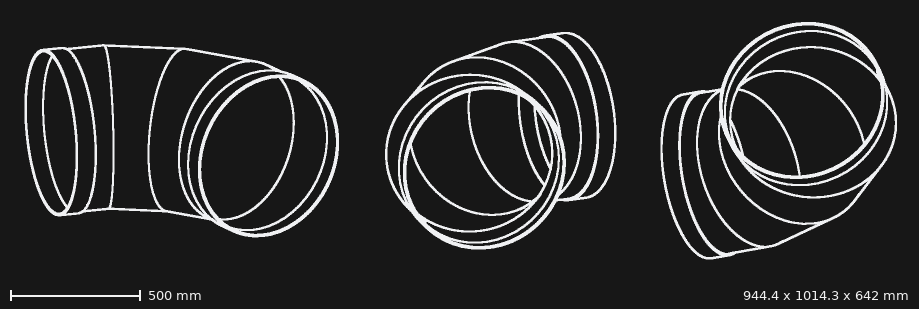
import cadquery as cq
import math

TUBE_OUTER_DIAMETER = 630
WALL = 6
BEND_ANGLE = 75
BEND_RADIUS = 630
MIDDLE_TURN = 22.5
END_LENGTH = 76
SOCKET_LENGTH = 76

tube_outer_radius = TUBE_OUTER_DIAMETER / 2
tube_inner_radius = tube_outer_radius - WALL
socket_outer_radius = tube_outer_radius + WALL

end_turn = (BEND_ANGLE - MIDDLE_TURN) / 2
end_miter = end_turn / 2
middle_miter = MIDDLE_TURN / 2
mouth = -END_LENGTH
pipe_reach = (BEND_RADIUS + tube_outer_radius) * math.tan(math.radians(end_miter))
wedge_reach = 2 * (BEND_RADIUS + tube_outer_radius)


def cylinder_y(radius, start, end):
    """Solid cylinder on the pipe axis, between two Y positions."""
    return cq.Workplane("XZ", origin=(0, start, 0)).circle(radius).extrude(start - end)


def miter_wedge(start_angle, end_angle):
    """Sector about the bend axis, its angles in degrees from the plane Y = 0."""
    points = [(BEND_RADIUS, 0)]
    for angle in (math.radians(start_angle), math.radians(end_angle)):
        x = BEND_RADIUS - wedge_reach * math.cos(angle)
        y = wedge_reach * math.sin(angle)
        points.append((x, y))
    return cq.Workplane("XY").polyline(points).close().extrude(tube_outer_radius, both=True)


def middle_segment():
    """Pipe piece along Y, mitred to the end segment at -Y and to the other middle one at +Y."""
    pipe = cylinder_y(tube_outer_radius, -pipe_reach, pipe_reach)
    bore = cylinder_y(tube_inner_radius, -pipe_reach, pipe_reach)
    return pipe.cut(bore).intersect(miter_wedge(-end_miter, middle_miter))


def socket_recess():
    """Round recess from the socket mouth, ending in a shoulder rounded into the tube bore.

    The rounding is centred on the inner corner of the outside step, so the wall stays even.
    """
    step = mouth + SOCKET_LENGTH
    diagonal = WALL * math.sqrt(0.5)
    return (
        cq.Workplane("XY")
        .moveTo(0, mouth)
        .lineTo(tube_outer_radius, mouth)
        .lineTo(tube_outer_radius, step - WALL)
        .threePointArc((tube_outer_radius - diagonal, step - diagonal), (tube_inner_radius, step))
        .lineTo(0, step)
        .close()
        .revolve(360, (0, 0, 0), (0, 1, 0))
    )


def end_segment():
    """Pipe piece along Y with a socket at its -Y end and a miter at +Y; the bend starts at Y = 0."""
    mitred_part = cylinder_y(tube_outer_radius, 0, pipe_reach).intersect(miter_wedge(0, end_miter))
    straight_part = cylinder_y(tube_outer_radius, mouth, 0)
    socket = cylinder_y(socket_outer_radius, mouth, mouth + SOCKET_LENGTH)
    bore = cylinder_y(tube_inner_radius, mouth, pipe_reach)
    return straight_part.union(mitred_part).union(socket).cut(bore).cut(socket_recess())


def around_bend(piece, angle):
    """Turn a piece about the bend axis and move it so the inlet mouth lies on Y = 0."""
    turned = piece.rotate((BEND_RADIUS, 0, 0), (BEND_RADIUS, 0, 1), -angle)
    return turned.translate((0, END_LENGTH, 0))


inlet_segment = around_bend(end_segment(), 0)
inlet_middle = around_bend(middle_segment(), end_turn)
outlet_middle = around_bend(middle_segment().mirror("XZ"), BEND_ANGLE - end_turn)
outlet_segment = around_bend(end_segment().mirror("XZ"), BEND_ANGLE)

result = cq.Compound.makeCompound([
    inlet_segment.val(),
    inlet_middle.val(),
    outlet_middle.val(),
    outlet_segment.val(),
])